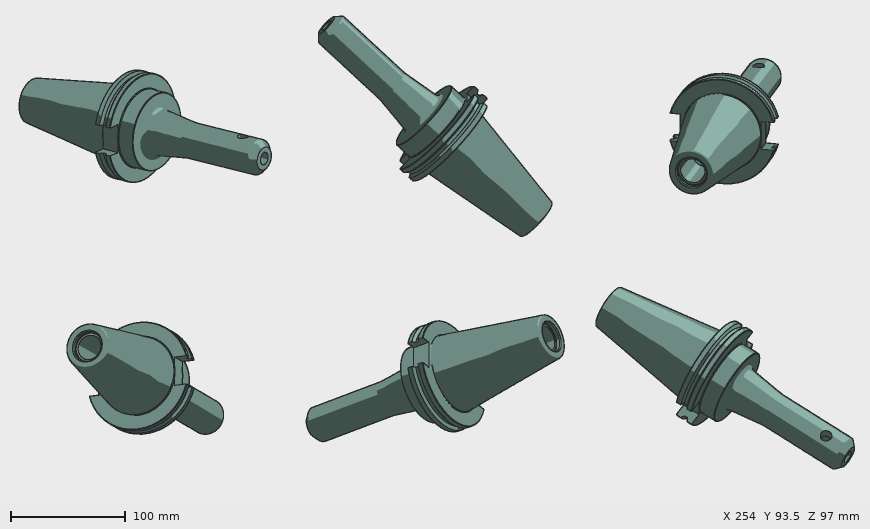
import cadquery as cq
import math

total_length = 254.0

taper_length = 102.4
taper_radius = 35.0
taper_small_radius = taper_radius - taper_length * 7 / 48
taper_end_fillet = 1.8

flange_start = 104.5
flange_end = 120.7
flange_radius = 48.5
flange_chamfer = 0.5
flange_root_fillet = 0.8
groove_center = 112.5
groove_floor_width = 3.0
groove_depth = 3.0
groove_half_angle = 30.0

slot_width = 25.7
slot_floor_front = 35.3
slot_floor_back = 37.5

collar_end = 136.7
collar_radius = 34.93
collar_chamfer = 0.5
neck_radius = 20.8
neck_fillet = 5.0
neck_end = 174.5
shank_radius = 15.88
tip_chamfer = 5.5
tip_fillet = 2.0

through_diameter = 11.2
thread_diameter = 21.8
thread_depth = 45.7
drill_point_half_angle = 59.0
pilot_diameter = 26.7
pilot_depth = 4.5
pilot_floor_chamfer = 0.5
mouth_diameter = 28.7

side_hole_diameter = 10.0
side_hole_x = 231.0


def turned(points):
    """Revolve an (x, radius) outline around the X axis."""
    return cq.Workplane("XY").polyline(points).close().revolve(360, (0, 0, 0), (1, 0, 0))


def circle_edges(body, x, radius):
    """Select the circular edge at a given X and radius."""
    tolerance = 0.03

    def matches(edge):
        if edge.geomType() != "CIRCLE":
            return False
        return abs(edge.Center().x - x) < tolerance and abs(edge.radius() - radius) < tolerance

    return body.edges().filter(matches)


def make_body():
    """Turn the taper, flange, collar, neck and shank."""
    body = turned([
        (0, 0),
        (0, taper_small_radius),
        (taper_length, taper_radius),
        (flange_start, taper_radius),
        (flange_start, flange_radius),
        (flange_end, flange_radius),
        (flange_end, collar_radius),
        (collar_end, collar_radius),
        (collar_end, neck_radius),
        (neck_end, shank_radius),
        (total_length - tip_chamfer, shank_radius),
        (total_length, shank_radius - tip_chamfer),
        (total_length, 0),
    ])
    body = circle_edges(body, 0, taper_small_radius).fillet(taper_end_fillet)
    body = circle_edges(body, collar_end, neck_radius).fillet(neck_fillet)
    body = circle_edges(body, collar_end, collar_radius).chamfer(collar_chamfer)
    body = circle_edges(body, flange_start, taper_radius).fillet(flange_root_fillet)
    body = circle_edges(body, flange_end, collar_radius).fillet(flange_root_fillet)
    body = circle_edges(body, flange_start, flange_radius).chamfer(flange_chamfer)
    body = circle_edges(body, flange_end, flange_radius).chamfer(flange_chamfer)
    return circle_edges(body, total_length - tip_chamfer, shank_radius).fillet(tip_fillet)


def make_gripper_groove():
    """Ring that cuts the V groove into the flange rim."""
    floor_radius = flange_radius - groove_depth
    half_floor = groove_floor_width / 2
    half_mouth = half_floor + groove_depth * math.tan(math.radians(groove_half_angle))
    return turned([
        (groove_center - half_mouth, flange_radius),
        (groove_center - half_floor, floor_radius),
        (groove_center + half_floor, floor_radius),
        (groove_center + half_mouth, flange_radius),
    ])


def make_drive_slot(side, floor):
    """Block cutting the flange outside a flat floor, on the -Y (-1) or +Y (+1) side."""
    depth = flange_radius - floor
    return (
        cq.Workplane("XY")
        .box(flange_end - flange_start, depth, slot_width)
        .translate(((flange_start + flange_end) / 2, side * (floor + depth / 2), 0))
    )


def make_bore():
    """Stepped bore with a countersunk mouth and a conical drill point."""
    through = through_diameter / 2
    thread = thread_diameter / 2
    pilot = pilot_diameter / 2
    mouth = mouth_diameter / 2
    point_length = (thread - through) / math.tan(math.radians(drill_point_half_angle))
    return turned([
        (0, 0),
        (0, mouth),
        (mouth - pilot, pilot),
        (pilot_depth - pilot_floor_chamfer, pilot),
        (pilot_depth, pilot - pilot_floor_chamfer),
        (pilot_depth, thread),
        (thread_depth, thread),
        (thread_depth + point_length, through),
        (total_length, through),
        (total_length, 0),
    ])


def make_side_hole():
    """Radial hole from the top of the shank down to the axis."""
    return (
        cq.Workplane("XY")
        .center(side_hole_x, 0)
        .circle(side_hole_diameter / 2)
        .extrude(shank_radius)
    )


result = (
    make_body()
    .cut(make_gripper_groove())
    .cut(make_drive_slot(-1, slot_floor_front))
    .cut(make_drive_slot(1, slot_floor_back))
    .cut(make_bore())
    .cut(make_side_hole())
)